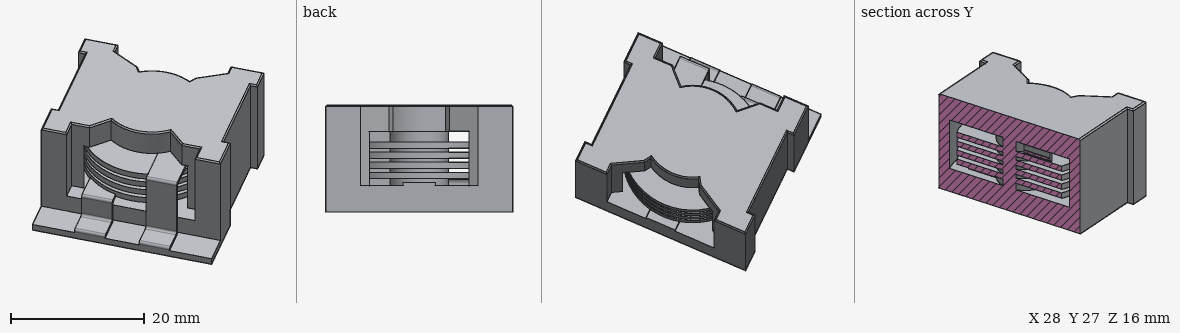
import cadquery as cq
import math


length = 28.0
height = 16.02
back_y = 11.48
front_y = -11.0
half_length = length / 2
top_chamfer = 0.22

side_recess = 1.1
back_pad = 3.4
front_pad = 5.15

flange_thickness = 1.1
total_depth = 27.02
flange_front_y = back_y - total_depth

floor_z = 3.98
lid_underside = 12.07
chamber_radius = 11.68
post_radius = 4.4

lid_radius = 7.48
front_corner_x = 4.62
front_shoulder_x = 7.2
front_notch_x = 10.02
back_corner_x = 3.92
back_spur_x = 4.55
back_notch_x = 8.82
back_flare_angle = 30.0

coil_radius = 10.47
turn_count = 4
turn_thickness = 0.95
turn_pitch = 1.5
first_turn_z = 5.0
coil_top = first_turn_z + (turn_count - 1) * turn_pitch + turn_thickness

strip_width = 4.8
strip_thickness = 0.48
lead_x = 5.05
lead_bend = 0.4
lead_front_y = -11.9
lead_inner_y = -4.2
foot_top = 1.62
short_lead_top = 5.38
tall_lead_top = 11.15


def arc_y(x):
    """Distance in Y from the coil axis to the lid edge arc at x."""
    return math.sqrt(lid_radius**2 - x**2)


def make_block():
    """Solid housing with recessed long sides and a chamfered top edge."""
    depth = back_y - front_y
    block = cq.Workplane("XY").box(length, depth, height, centered=(True, False, False))
    block = block.translate((0, front_y, 0))
    recess_depth = depth - back_pad - front_pad
    recess_y = front_y + front_pad + recess_depth / 2
    for side in (-1, 1):
        recess = cq.Workplane("XY").box(2 * side_recess, recess_depth, height, centered=(True, True, False))
        block = block.cut(recess.translate((side * half_length, recess_y, 0)))
    return block


def make_front_notch():
    """Stepped opening with 45 degree flanks around the front lid arc."""
    corner_y = -arc_y(front_corner_x)
    shoulder_y = corner_y - (front_shoulder_x - front_corner_x)
    return (
        cq.Workplane("XY", origin=(0, 0, floor_z))
        .moveTo(-front_notch_x, front_y)
        .lineTo(-front_notch_x, shoulder_y)
        .lineTo(-front_shoulder_x, shoulder_y)
        .lineTo(-front_corner_x, corner_y)
        .threePointArc((0, -lid_radius), (front_corner_x, corner_y))
        .lineTo(front_shoulder_x, shoulder_y)
        .lineTo(front_notch_x, shoulder_y)
        .lineTo(front_notch_x, front_y)
        .close()
        .extrude(height - floor_z)
    )


def make_back_notch():
    """Flared opening around the back lid arc."""
    corner_y = arc_y(back_corner_x)
    spur_y = corner_y * back_spur_x / back_corner_x
    flare_y = spur_y + (back_notch_x - back_spur_x) * math.tan(math.radians(back_flare_angle))
    return (
        cq.Workplane("XY", origin=(0, 0, floor_z))
        .moveTo(-back_notch_x, back_y)
        .lineTo(-back_notch_x, flare_y)
        .lineTo(-back_spur_x, spur_y)
        .lineTo(-back_corner_x, corner_y)
        .threePointArc((0, lid_radius), (back_corner_x, corner_y))
        .lineTo(back_spur_x, spur_y)
        .lineTo(back_notch_x, flare_y)
        .lineTo(back_notch_x, back_y)
        .close()
        .extrude(height - floor_z)
    )


def make_housing():
    """Block opened by both notches, hollowed below the lid, with a centre post and flange."""
    housing = make_block().cut(make_front_notch()).cut(make_back_notch())
    housing = housing.faces(">Z").chamfer(top_chamfer)
    chamber = (
        cq.Workplane("XY", origin=(0, 0, floor_z))
        .circle(chamber_radius)
        .circle(post_radius)
        .extrude(lid_underside - floor_z)
    )
    flange = cq.Workplane("XY").box(
        length, front_y - flange_front_y, flange_thickness, centered=(True, False, False)
    )
    return housing.cut(chamber).union(flange.translate((0, flange_front_y, 0)))


def make_turn(bottom_z):
    """One flat turn of the coil, seated on the post."""
    return (
        cq.Workplane("XY", origin=(0, 0, bottom_z))
        .circle(coil_radius)
        .circle(post_radius)
        .extrude(turn_thickness)
    )


def make_lead(center_x, top_z):
    """Strip leaving the coil, bent down to a foot that wraps over the flange edge."""
    back_face_y = lead_front_y + strip_thickness
    wrap_y = flange_front_y + strip_thickness
    profile = (
        cq.Workplane("YZ", origin=(center_x - strip_width / 2, 0, 0))
        .moveTo(lead_inner_y, top_z)
        .lineTo(lead_front_y, top_z)
        .lineTo(lead_front_y, foot_top)
        .lineTo(flange_front_y, foot_top)
        .lineTo(flange_front_y, 0)
        .lineTo(wrap_y, 0)
        .lineTo(wrap_y, foot_top - strip_thickness)
        .lineTo(back_face_y, foot_top - strip_thickness)
        .lineTo(back_face_y, top_z - strip_thickness)
        .lineTo(lead_inner_y, top_z - strip_thickness)
        .close()
    )
    lead = profile.extrude(strip_width)
    outer_bends = [(lead_front_y, top_z), (lead_front_y, foot_top), (flange_front_y, foot_top)]
    inner_bends = [(back_face_y, top_z - strip_thickness)]
    for y, z in outer_bends + inner_bends:
        bend_edge = cq.selectors.NearestToPointSelector((center_x, y, z))
        lead = lead.edges("|X").edges(bend_edge).fillet(lead_bend)
    return lead


def make_lead_riser():
    """Upright strip joining the tall lead and the top turn to the lid."""
    riser = cq.Workplane("XY").box(
        strip_width, strip_thickness, lid_underside - coil_top, centered=(True, False, False)
    )
    return riser.translate((lead_x, lead_inner_y, coil_top))


def make_back_strip():
    """Strip lying on the chamber floor from the post to the back edge."""
    strip = cq.Workplane("XY").box(
        strip_width, back_y - post_radius, strip_thickness, centered=(True, False, False)
    )
    return strip.translate((0, post_radius, floor_z))


result = make_housing()
for turn in range(turn_count):
    result = result.union(make_turn(first_turn_z + turn * turn_pitch))
result = result.union(make_lead(-lead_x, short_lead_top))
result = result.union(make_lead(lead_x, tall_lead_top))
result = result.union(make_lead_riser())
result = result.union(make_back_strip())